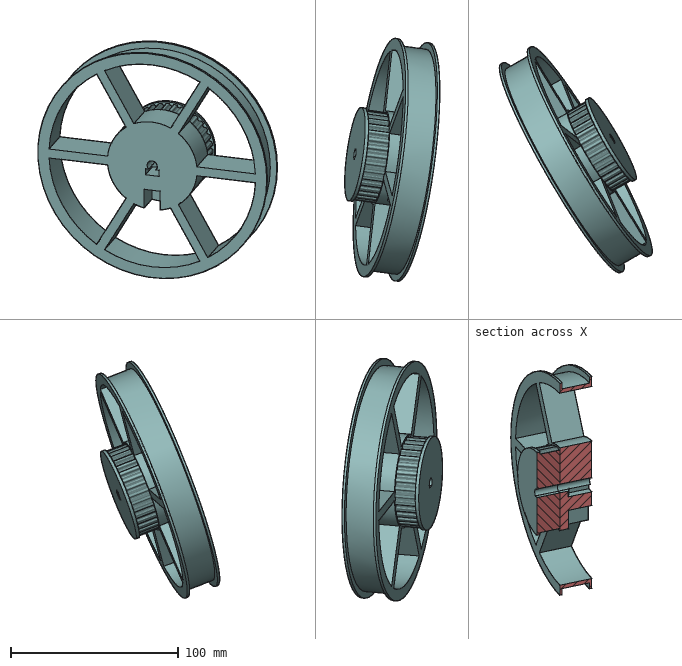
import cadquery as cq
import math

wheel_radius = 72.0
drum_radius = 68.0
rim_inner_radius = 65.0
hub_radius = 28.3
wheel_width = 21.0
rim_flange_thickness = 1.6
spoke_count = 6
spoke_width = 5.8

overall_depth = 36.0
pulley_flange_radius = 28.3
pulley_flange_thickness = 2.2
tooth_count = 35
tooth_tip_radius = 27.2
groove_depth = 1.2
groove_top_width = 2.7
groove_floor_width = 1.5
tooth_edge_radius = 0.36

bore_radius = 3.2
bore_flat_distance = 2.3

nut_width = 8.5
nut_thickness = 3.9

screw_recess_width = 10.1
screw_recess_depth = 15.0
screw_recess_top = 15.7

front_y = -overall_depth / 2
wheel_back_y = front_y + wheel_width
hub_middle_y = front_y + wheel_width / 2
pulley_length = overall_depth - wheel_width
toothed_length = pulley_length - pulley_flange_thickness


def section_at(y):
    """Sketch plane across the axis at y: local x is +X, local y is +Z, and extruding by a negative length
    goes towards the back."""
    return cq.Workplane("XZ", origin=(0, y, 0))


def make_disc(y, radius, length):
    return section_at(y).circle(radius).extrude(-length)


def make_bore():
    """D-shaped cutter with its flat on the underside."""
    circle = make_disc(front_y, bore_radius, overall_depth)
    above_flat = (
        section_at(front_y)
        .center(0, (bore_radius - bore_flat_distance) / 2)
        .rect(2 * bore_radius, bore_radius + bore_flat_distance)
        .extrude(-overall_depth)
    )
    return circle.intersect(above_flat)


def make_rim():
    """Drum with a flange at each end, open inside."""
    rim = make_disc(front_y, wheel_radius, wheel_width)
    groove_width = wheel_width - 2 * rim_flange_thickness
    groove = (
        section_at(front_y + rim_flange_thickness)
        .circle(wheel_radius)
        .circle(drum_radius)
        .extrude(-groove_width)
    )
    return rim.cut(groove).cut(make_disc(front_y, rim_inner_radius, wheel_width))


def make_spoke(angle):
    """Spoke from the axis into the middle of the drum wall."""
    mid_drum_radius = (rim_inner_radius + drum_radius) / 2
    return (
        section_at(front_y)
        .transformed(rotate=(0, 0, angle))
        .center(mid_drum_radius / 2, 0)
        .rect(mid_drum_radius, spoke_width)
        .extrude(-wheel_width)
    )


def make_nut_pocket():
    """Half a hexagon with its point towards the back, plus a straight slot to the front face."""
    half_width = nut_width / 2
    corner_radius = nut_width / math.sqrt(3)
    return (
        cq.Workplane("XY", origin=(0, 0, -bore_flat_distance))
        .moveTo(-half_width, front_y)
        .lineTo(half_width, front_y)
        .lineTo(half_width, hub_middle_y + corner_radius / 2)
        .lineTo(0, hub_middle_y + corner_radius)
        .lineTo(-half_width, hub_middle_y + corner_radius / 2)
        .close()
        .extrude(-nut_thickness)
    )


def make_screw_recess():
    height = hub_radius - screw_recess_top
    return (
        section_at(front_y)
        .center(0, -screw_recess_top - height / 2)
        .rect(screw_recess_width, height)
        .extrude(-screw_recess_depth)
    )


def make_wheel():
    wheel = make_rim().union(make_disc(front_y, hub_radius, wheel_width))
    for i in range(spoke_count):
        wheel = wheel.union(make_spoke(i * 360 / spoke_count))
    return wheel.cut(make_bore()).cut(make_nut_pocket()).cut(make_screw_recess())


def make_tooth_outline():
    """Closed outline of the toothed section: one groove and one tip land per pitch, from the -X side."""
    pitch = 2 * math.pi / tooth_count
    floor_radius = tooth_tip_radius - groove_depth
    top_half = math.asin(groove_top_width / 2 / tooth_tip_radius)
    floor_half = math.asin(groove_floor_width / 2 / floor_radius)

    def polar(radius, angle):
        return radius * math.cos(angle), radius * math.sin(angle)

    outline = section_at(wheel_back_y).moveTo(*polar(tooth_tip_radius, math.pi - top_half))
    for i in range(tooth_count):
        middle = math.pi + i * pitch
        outline = (
            outline.lineTo(*polar(floor_radius, middle - floor_half))
            .lineTo(*polar(floor_radius, middle + floor_half))
            .lineTo(*polar(tooth_tip_radius, middle + top_half))
        )
        land_middle = polar(tooth_tip_radius, middle + pitch / 2)
        land_end = polar(tooth_tip_radius, middle + pitch - top_half)
        outline = outline.threePointArc(land_middle, land_end)
    return outline.close()


def make_pulley():
    teeth = make_tooth_outline().extrude(-toothed_length)
    teeth = teeth.edges("|Y").fillet(tooth_edge_radius)
    flange = make_disc(wheel_back_y + toothed_length, pulley_flange_radius, pulley_flange_thickness)
    return teeth.union(flange).cut(make_bore())


wheel = make_wheel()
pulley = make_pulley()
result = cq.Compound.makeCompound([wheel.val(), pulley.val()])